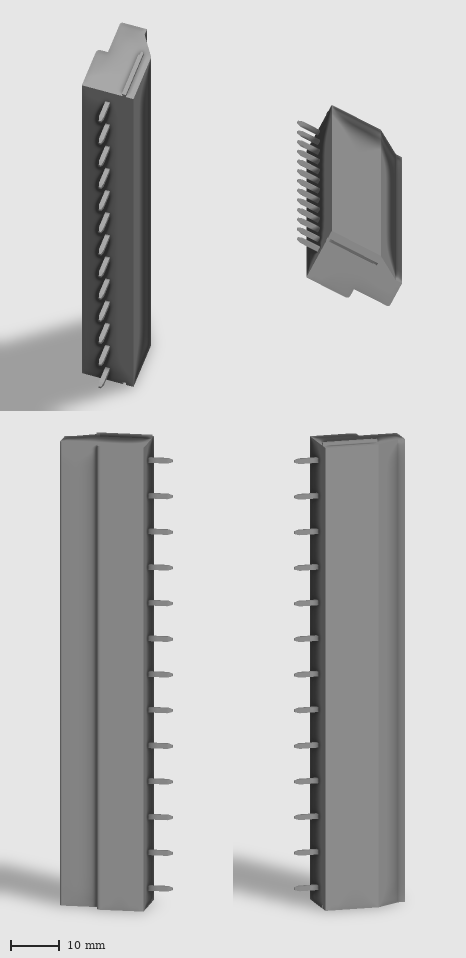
import cadquery as cq

total_height = 98.1
pole_count = 13
rib_height = 0.7
body_height = total_height - rib_height
pitch = body_height / pole_count
body_width = 11.2
body_depth = 18.0

ledge_width = 2.4
ledge_depth = 9.8
back_face_end = 8.0
slope_start_depth = 16.5
slope_end_depth = 11.4
ledge_corner_radius = 0.8
back_corner_radius = 0.5

rib_left = 8.9
rib_right = 9.5
rib_length = 11.6
flare_width = 0.3
flare_length = 10.8

pin_size = 1.0
pin_length = 5.0
pin_tip_size = 0.5
pin_tip_length = 1.0


def make_body():
    """Stepped, sloped-shoulder profile extruded over the full height of the housing."""
    profile = [
        (0, 0),
        (body_width, 0),
        (body_width, slope_end_depth),
        (back_face_end, slope_start_depth),
        (back_face_end, body_depth),
        (ledge_width, body_depth),
        (ledge_width, ledge_depth),
        (0, ledge_depth),
    ]
    body = cq.Workplane("XY").polyline(profile).close().extrude(body_height)
    rounded_corners = [
        (0, ledge_depth, ledge_corner_radius),
        (ledge_width, body_depth, back_corner_radius),
    ]
    for x, y, radius in rounded_corners:
        edge_point = (x, y, body_height / 2)
        body = body.edges(cq.selectors.NearestToPointSelector(edge_point)).fillet(radius)
    return body


def make_rib(base_z):
    """Straight rail with a half-dovetail flare that widens toward its upper face."""
    rail = cq.Workplane("XY", origin=(0, 0, base_z)).moveTo(rib_left, 0).lineTo(rib_right, 0)
    rail = rail.lineTo(rib_right, rib_length).lineTo(rib_left, rib_length).close().extrude(rib_height)
    flare_profile = [
        (rib_left, base_z),
        (rib_left, base_z + rib_height),
        (rib_left - flare_width, base_z + rib_height),
    ]
    flare = cq.Workplane("XZ").polyline(flare_profile).close().extrude(-flare_length)
    return rail.union(flare)


def make_pin(center_z):
    """Square pin pointing toward -Y, with a tapered tip."""
    shank_length = pin_length - pin_tip_length
    shank = (
        cq.Workplane("XZ", origin=(body_width / 2, 0, center_z))
        .rect(pin_size, pin_size)
        .extrude(shank_length)
    )
    tip = (
        cq.Workplane("XZ", origin=(body_width / 2, -shank_length, center_z))
        .rect(pin_size, pin_size)
        .workplane(offset=pin_tip_length)
        .rect(pin_tip_size, pin_tip_size)
        .loft(combine=True)
    )
    return shank.union(tip)


result = make_body().union(make_rib(body_height)).cut(make_rib(0))
for pole in range(pole_count):
    result = result.union(make_pin((pole + 0.5) * pitch))